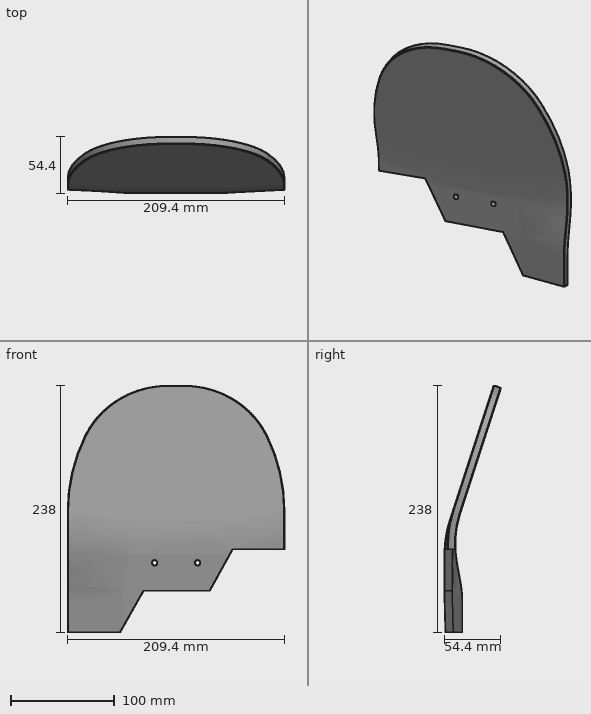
import cadquery as cq
import math

half_width = 104.7
height = 238.0
thickness = 7.5
tilt = math.radians(18)
bend_radius = 104.7
rim_chamfer = 0.7

crown_peak = height + rim_chamfer * math.sin(tilt)

crown_flat = 7.5
crown_radius = 88.5
crown_sweep = math.radians(65)

crown_end_x = crown_flat + crown_radius * math.sin(crown_sweep)
crown_end_y = crown_radius * (math.cos(crown_sweep) - 1)
side_radius = (half_width - crown_end_x) / (1 - math.sin(crown_sweep))
side_end_y = crown_end_y - side_radius * math.cos(crown_sweep)

center_bend_top = 107.8
wing_bend_top = crown_peak + side_end_y * math.cos(tilt)
wing_reverse = math.radians(10.5)
wing_bend_bottom = 28.5
inner_reverse = math.radians(1.4)
inner_bend_bottom = 37.4
center_reverse = math.radians(0.1)

inner_fold_top = 41.5
inner_fold_max = 52.4
inner_fold_slope = 0.16
center_fold_offset = 0.2
center_fold_min = 40.5
center_fold_low = 35.7
center_fold_low_z = 42.9

lower_step = 40.0
lower_step_left = -31.5
lower_step_right = 32.4
wing_cut_left = -54.0
wing_cut_right = 54.5
wing_cut_height = 2 * lower_step

hole_diameter = 5.0
hole_x = 20.7
hole_z = 67.1

overrun = 47.5
bend_drop = bend_radius * (1 - math.cos(tilt))
bend_rise = bend_radius * math.sin(tilt)


def panel_y(z):
    """Front face of the tilted upper panel; the center panel is at Y = 0."""
    return bend_drop + (z - center_bend_top) * math.tan(tilt)


def wing_end_x(z):
    return half_width


def wing_rim_x(z):
    return half_width - rim_chamfer


def inner_fold_x(z):
    x = inner_fold_top + (center_bend_top - z) * inner_fold_slope
    return min(inner_fold_max, max(inner_fold_top, x))


def center_fold_x(z):
    """Fold that leans in to its lowest point, then runs straight down."""
    top = inner_fold_top - center_fold_offset
    knee_z = center_bend_top - bend_rise
    if z >= knee_z:
        return top - (top - center_fold_min) * min(1, max(0, (center_bend_top - z) / bend_rise))
    drop = min(1, (knee_z - z) / (knee_z - center_fold_low_z))
    return center_fold_min - (center_fold_min - center_fold_low) * drop


def section(side, fold_x, bend_top, reverse, bend_bottom, inset=0):
    """Closed sheet section along a fold: front face up, back face down.

    The inset pulls both faces toward the middle of the sheet.
    """
    crest_z = bend_top - bend_rise
    crest_y = panel_y(bend_top) - bend_drop
    reverse_y = bend_radius * (1 - math.cos(reverse))
    reverse_z = bend_radius * math.sin(reverse)
    low_bend_top = bend_bottom + reverse_z
    straight = crest_z - reverse_z - low_bend_top
    flat_y = crest_y + 2 * reverse_y + straight * math.tan(reverse)

    stations = [(flat_y, -overrun, 0), (flat_y, bend_bottom, 0)]
    for lean in (reverse / 2, reverse):
        y = flat_y - bend_radius * (1 - math.cos(lean))
        stations.append((y, bend_bottom + bend_radius * math.sin(lean), -lean))
    for lean in (-reverse, (tilt - reverse) / 2, tilt):
        y = crest_y + bend_radius * (1 - math.cos(lean))
        stations.append((y, crest_z + bend_radius * math.sin(lean), lean))

    front = []
    back = []
    for y, z, lean in stations:
        surface = cq.Vector(side * fold_x(z), y, z)
        inward = cq.Vector(0, math.cos(lean), -math.sin(lean))
        front.append(surface + inward * inset)
        back.append(surface + inward * (thickness - inset))

    edges = face_edges(front)
    edges.append(cq.Edge.makeLine(front[-1], back[-1]))
    edges += face_edges(back)[::-1]
    edges.append(cq.Edge.makeLine(back[0], front[0]))
    return cq.Wire.assembleEdges(edges)


def face_edges(points):
    """Flat, lower bend, straight and upper bend through the points of one face."""
    flat, low_start, low_mid, low_end, up_start, up_mid, up_end = points
    return [
        cq.Edge.makeLine(flat, low_start),
        cq.Edge.makeThreePointArc(low_start, low_mid, low_end),
        cq.Edge.makeLine(low_end, up_start),
        cq.Edge.makeThreePointArc(up_start, up_mid, up_end),
    ]


def folded_base():
    bend_line_slope = (wing_bend_top - center_bend_top) / (half_width - inner_fold_top)
    rim_bend_top = wing_bend_top - rim_chamfer * bend_line_slope
    wing_end = (wing_end_x, wing_bend_top, wing_reverse, wing_bend_bottom, rim_chamfer)
    wing = (wing_rim_x, rim_bend_top, wing_reverse, wing_bend_bottom)
    inner = (inner_fold_x, center_bend_top, inner_reverse, inner_bend_bottom)
    center = (center_fold_x, center_bend_top, center_reverse, inner_bend_bottom)
    left = [section(-1, *fold) for fold in (wing_end, wing, inner, center)]
    right = [section(1, *fold) for fold in (center, inner, wing, wing_end)]
    return cq.Workplane(obj=cq.Solid.makeLoft(left + right, True))


def lower_edge_tool():
    """Prism along Y that keeps everything above the stepped lower edge."""
    side = half_width + overrun
    top = height + overrun
    return (
        cq.Workplane("XZ", origin=(0, height, 0))
        .moveTo(-side, 0)
        .lineTo(wing_cut_left, 0)
        .lineTo(lower_step_left, lower_step)
        .lineTo(lower_step_right, lower_step)
        .lineTo(wing_cut_right, wing_cut_height)
        .lineTo(side, wing_cut_height)
        .lineTo(side, top)
        .lineTo(-side, top)
        .close()
        .extrude(2 * height)
    )


def panel_plane():
    """Front of the tilted panel, with its origin at the top edge and normal forward."""
    return cq.Plane(
        origin=(0, panel_y(crown_peak), crown_peak),
        xDir=(1, 0, 0),
        normal=(0, -math.cos(tilt), math.sin(tilt)),
    )


def upper_panel():
    """Flat panel that starts at the top of the bends."""
    wing_y = (wing_bend_top - crown_peak) / math.cos(tilt)
    center_y = (center_bend_top - crown_peak) / math.cos(tilt)
    outline = [
        (-half_width, overrun),
        (-half_width, wing_y),
        (-inner_fold_top, center_y),
        (inner_fold_top, center_y),
        (half_width, wing_y),
        (half_width, overrun),
    ]
    panel = cq.Workplane(panel_plane()).polyline(outline).close().extrude(-thickness)
    return panel.intersect(crown_sheet())


def crown_sheet():
    """Crown outline square to the tilted panel, with tangent arcs down to the sides."""
    mid_x = crown_flat + crown_radius * math.sin(crown_sweep / 2)
    mid_y = crown_radius * (math.cos(crown_sweep / 2) - 1)
    side_mid = (crown_sweep + math.pi / 2) / 2
    side_mid_x = half_width - side_radius * (1 - math.sin(side_mid))
    side_mid_y = side_end_y + side_radius * math.cos(side_mid)
    bottom = -2 * height
    return (
        cq.Workplane(panel_plane())
        .moveTo(-crown_flat, 0)
        .lineTo(crown_flat, 0)
        .threePointArc((mid_x, mid_y), (crown_end_x, crown_end_y))
        .threePointArc((side_mid_x, side_mid_y), (half_width, side_end_y))
        .lineTo(half_width, bottom)
        .lineTo(-half_width, bottom)
        .lineTo(-half_width, side_end_y)
        .threePointArc((-side_mid_x, side_mid_y), (-crown_end_x, crown_end_y))
        .threePointArc((-mid_x, mid_y), (-crown_flat, 0))
        .close()
        .extrude(-thickness)
        .faces(cq.selectors.ParallelDirSelector(panel_plane().zDir))
        .chamfer(rim_chamfer)
    )


def mounting_holes():
    return (
        cq.Workplane("XZ", origin=(0, overrun, hole_z))
        .pushPoints([(-hole_x, 0), (hole_x, 0)])
        .circle(hole_diameter / 2)
        .extrude(2 * overrun)
    )


blank = folded_base().union(upper_panel())
result = blank.intersect(lower_edge_tool()).cut(mounting_holes())